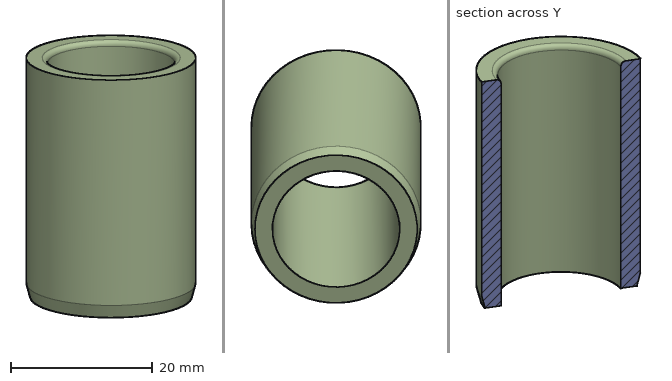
import cadquery as cq
import math

length = 35.0
outer_diameter = 24.0
bore_diameter = 18.0
mouth_radius = 0.77
lead_in_height = 2.0
lead_in_angle = 15.0

outer_radius = outer_diameter / 2
bore_radius = bore_diameter / 2
lead_in_depth = lead_in_height * math.tan(math.radians(lead_in_angle))

arc_offset = mouth_radius * (1 - math.sqrt(0.5))
half_section = (
    cq.Workplane("XZ")
    .moveTo(bore_radius, 0)
    .lineTo(outer_radius - lead_in_depth, 0)
    .lineTo(outer_radius, lead_in_height)
    .lineTo(outer_radius, length)
    .lineTo(bore_radius + mouth_radius, length)
    .threePointArc(
        (bore_radius + arc_offset, length - arc_offset),
        (bore_radius, length - mouth_radius),
    )
    .close()
)
result = half_section.revolve(360, (0, 0, 0), (0, 1, 0))